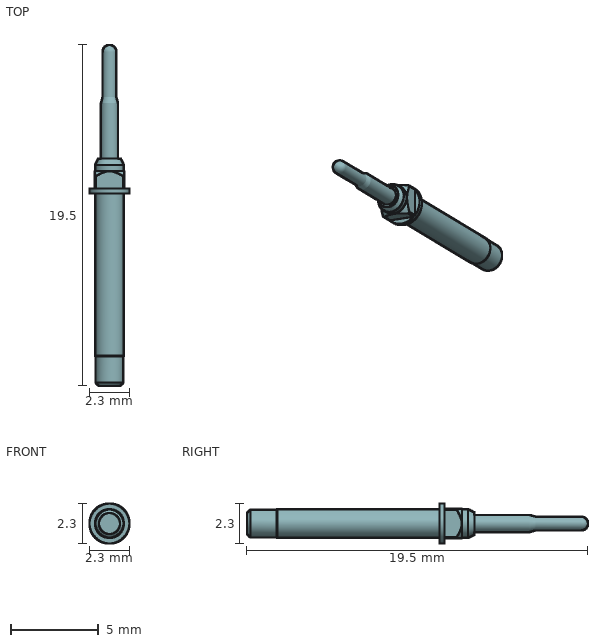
import cadquery as cq
import math

overall_length = 19.5
front_collar_depth = 8.5
collar_thickness = 0.3
square_length = 1.0
nose_land_length = 0.35
nose_cone_length = 0.35
tip_length = 3.0
plunger_cone_length = 0.35
rear_spigot_length = 1.7
barrel_bevel_length = 0.05
rear_chamfer = 0.2

tip_radius = 0.4
plunger_radius = 0.5
nose_radius = 0.65
barrel_radius = 0.825
collar_radius = 1.15
rear_spigot_radius = 0.8

square_width = 1.7
square_lead_in = 0.3

tip_end_y = overall_length
tip_base_y = tip_end_y - tip_length
plunger_front_y = tip_base_y - plunger_cone_length
collar_rear_y = overall_length - front_collar_depth
collar_front_y = collar_rear_y + collar_thickness
square_front_y = collar_front_y + square_length
nose_cone_base_y = square_front_y + nose_land_length
nose_front_y = nose_cone_base_y + nose_cone_length


def revolve_profile(points):
    """Revolve (radius, y) points, closed along the axis, around Y."""
    return cq.Workplane("XY").polyline(points).close().revolve(360, (0, 0, 0), (0, 1, 0))


def make_barrel():
    """Barrel with rear spigot, collar and tapered nose."""
    return revolve_profile([
        (0, 0),
        (rear_spigot_radius - rear_chamfer, 0),
        (rear_spigot_radius, rear_chamfer),
        (rear_spigot_radius, rear_spigot_length),
        (barrel_radius, rear_spigot_length + barrel_bevel_length),
        (barrel_radius, collar_rear_y),
        (collar_radius, collar_rear_y),
        (collar_radius, collar_front_y),
        (barrel_radius, collar_front_y),
        (barrel_radius, nose_cone_base_y),
        (nose_radius, nose_front_y),
        (0, nose_front_y),
    ])


def make_plunger():
    """Stepped plunger with a hemispherical contact end."""
    dome_centre_y = tip_end_y - tip_radius
    shank = revolve_profile([
        (0, nose_front_y),
        (plunger_radius, nose_front_y),
        (plunger_radius, plunger_front_y),
        (tip_radius, tip_base_y),
        (tip_radius, dome_centre_y),
        (0, dome_centre_y),
    ])
    dome_half_chord = tip_radius * math.sqrt(0.5)
    dome = (
        cq.Workplane("XY")
        .moveTo(0, dome_centre_y)
        .lineTo(tip_radius, dome_centre_y)
        .threePointArc((dome_half_chord, dome_centre_y + dome_half_chord), (0, tip_end_y))
        .close()
        .revolve(360, (0, 0, 0), (0, 1, 0))
    )
    return shank.union(dome)


def make_square_section():
    """Square block whose corners are trimmed by the collar diameter and a front cone."""
    block = cq.Workplane("XY").box(square_width, square_length, square_width)
    block = block.translate((0, collar_front_y + square_length / 2, 0))
    corner_limit = revolve_profile([
        (0, collar_front_y),
        (collar_radius, collar_front_y),
        (collar_radius, square_front_y - square_lead_in),
        (barrel_radius, square_front_y),
        (0, square_front_y),
    ])
    return block.intersect(corner_limit)


result = make_barrel().union(make_plunger()).union(make_square_section())